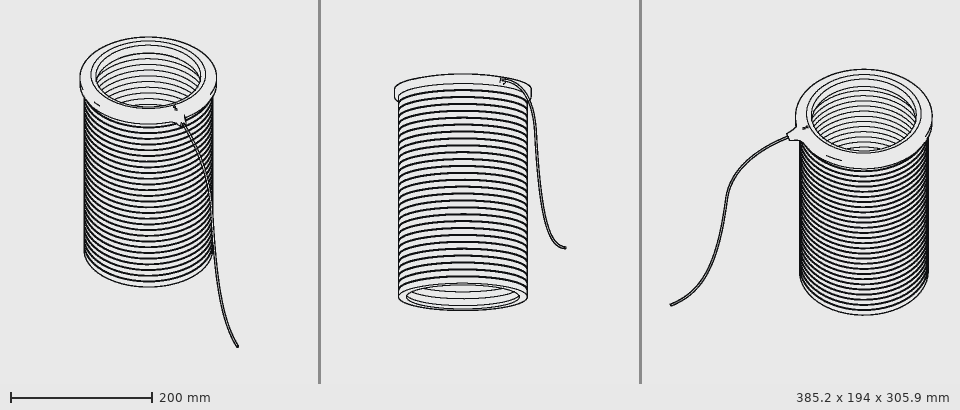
import cadquery as cq
import math

ring_pitch = 10.0
ring_count = 29
hose_outer_radius = 91.5
hose_crest_radius = 80.0
valley_depth = 1.0
groove_width = 1.5
groove_depth = 1.0
hose_height = 289.5

overall_height = 305.86
cap_radius = 97.0
cap_bore_radius = 74.0
ridge_radius = 81.3
roof_slope = math.radians(15.0)
throat_radius = 74.4
throat_top = 303.5
throat_bottom = 299.7
cap_edge_radius = 0.8

lug_tip_reach = 113.9
lug_tip_half_width = 3.8
lug_taper = math.radians(15.0)
lug_blend_radius = 10.0
pinhole_diameter = 3.0
pinhole_depth = 5.0
pinhole_reaches = (84.7, 89.4)

cord_diameter = 3.0
cord_straight_end = (119.4, 291.8)
cord_middle = (204.6, 198.9)
cord_free_end = (287.81, 17.1)
cord_middle_slope = math.radians(84.1)
cord_end_slope = math.radians(13.9)
cord_start_pull = 47.6
cord_middle_pull_before = 51.6
cord_middle_pull_after = 138.2
cord_end_pull = 42.9


def roof_height(radius):
    return overall_height - (radius - ridge_radius) * math.tan(roof_slope)


tip_top = (lug_tip_reach, roof_height(lug_tip_reach))


def along(point, slope, distance):
    """Point reached by moving a distance in a direction that falls at the given slope."""
    return (point[0] + distance * math.cos(slope), point[1] - distance * math.sin(slope))


def make_hose():
    """Stack of rings: V grooves between them outside, rounded corrugations facing the bore."""
    profile = cq.Workplane("XZ").moveTo(hose_crest_radius, 0).lineTo(hose_outer_radius, 0)
    for joint in range(1, ring_count):
        z = joint * ring_pitch
        profile = (
            profile.lineTo(hose_outer_radius, z - groove_width / 2)
            .lineTo(hose_outer_radius - groove_depth, z)
            .lineTo(hose_outer_radius, z + groove_width / 2)
        )
    profile = profile.lineTo(hose_outer_radius, hose_height).lineTo(hose_crest_radius, hose_height)

    valley_radius = hose_crest_radius + valley_depth
    profile = profile.lineTo(valley_radius, (ring_count - 0.5) * ring_pitch)
    for joint in range(ring_count - 1, 0, -1):
        crest = (hose_crest_radius, joint * ring_pitch)
        profile = profile.threePointArc(crest, (valley_radius, (joint - 0.5) * ring_pitch))
    return profile.close().revolve(360, (0, 0, 0), (0, 1, 0))


def make_cap_plan():
    """Round plate with the tapered lug blended into it, at the full height of the cap."""
    lug_root_half_width = lug_tip_half_width + (lug_tip_reach - ridge_radius) * math.tan(lug_taper)
    plate_height = overall_height - hose_height
    base = cq.Workplane("XY").workplane(offset=hose_height)
    lug = (
        base.moveTo(ridge_radius, -lug_root_half_width)
        .lineTo(lug_tip_reach, -lug_tip_half_width)
        .lineTo(lug_tip_reach, lug_tip_half_width)
        .lineTo(ridge_radius, lug_root_half_width)
        .close()
        .extrude(plate_height)
    )
    plate = base.circle(cap_radius).extrude(plate_height).union(lug)
    inner_corners = cq.selectors.BoxSelector(
        (ridge_radius, -cap_radius, 0),
        ((cap_radius + lug_tip_reach) / 2, cap_radius, overall_height),
    )
    return plate.edges("|Z").edges(inner_corners).fillet(lug_blend_radius)


def is_outer_rim(edge):
    """True for edges that run around the outside of plate and lug, along the roof or the underside."""
    ends = (edge.startPoint(), edge.endPoint())
    is_outside = all(math.hypot(end.x, end.y) > cap_radius - cap_edge_radius for end in ends)
    both_on_underside = all(end.z < hose_height + cap_edge_radius for end in ends)
    both_on_roof = all(end.z > hose_height + cap_edge_radius for end in ends)
    return is_outside and (both_on_underside or both_on_roof)


def make_cap():
    """Sloped roof over plate and lug, with a funnel leading into the bore."""
    envelope_radius = lug_tip_reach + lug_tip_half_width
    envelope = (
        cq.Workplane("XZ")
        .moveTo(cap_bore_radius, hose_height)
        .lineTo(envelope_radius, hose_height)
        .lineTo(envelope_radius, roof_height(envelope_radius))
        .lineTo(ridge_radius, overall_height)
        .lineTo(throat_radius, throat_top)
        .lineTo(cap_bore_radius, throat_bottom)
        .close()
        .revolve(360, (0, 0, 0), (0, 1, 0))
    )
    cap = make_cap_plan().intersect(envelope)

    undercut = (tip_top[1] - hose_height) * math.tan(roof_slope)
    tip_cut = (
        cq.Workplane("XZ")
        .moveTo(*tip_top)
        .lineTo(lug_tip_reach - undercut, hose_height)
        .lineTo(envelope_radius, hose_height)
        .lineTo(envelope_radius, tip_top[1])
        .close()
        .extrude(2 * lug_tip_half_width, both=True)
    )
    cap = cap.cut(tip_cut)

    cap = cap.edges().filter(is_outer_rim).fillet(cap_edge_radius)

    for reach in pinhole_reaches:
        pinhole = (
            cq.Workplane("XY")
            .workplane(offset=roof_height(reach) - pinhole_depth)
            .center(reach, 0)
            .circle(pinhole_diameter / 2)
            .extrude(2 * pinhole_depth)
        )
        cap = cap.cut(pinhole)
    return cap


def make_cord():
    """Round cord leaving the lug tip parallel to the roof, then hanging in an S-curve."""
    straight_length = (cord_straight_end[0] - tip_top[0]) * math.cos(roof_slope) - (
        cord_straight_end[1] - tip_top[1]
    ) * math.sin(roof_slope)
    start = along(cord_straight_end, roof_slope, -straight_length)

    path = (
        cq.Workplane("XZ")
        .moveTo(*start)
        .lineTo(*cord_straight_end)
        .bezier([
            cord_straight_end,
            along(cord_straight_end, roof_slope, cord_start_pull),
            along(cord_middle, cord_middle_slope, -cord_middle_pull_before),
            cord_middle,
        ])
        .bezier([
            cord_middle,
            along(cord_middle, cord_middle_slope, cord_middle_pull_after),
            along(cord_free_end, cord_end_slope, -cord_end_pull),
            cord_free_end,
        ])
    )
    section_plane = cq.Plane(
        origin=(start[0], 0, start[1]),
        xDir=(0, 1, 0),
        normal=(math.cos(roof_slope), 0, -math.sin(roof_slope)),
    )
    return cq.Workplane(section_plane).circle(cord_diameter / 2).sweep(path)


hose = make_hose()
cap = make_cap()
cord = make_cord()

result = cq.Compound.makeCompound([hose.val(), *cap.solids().vals(), cord.val()])